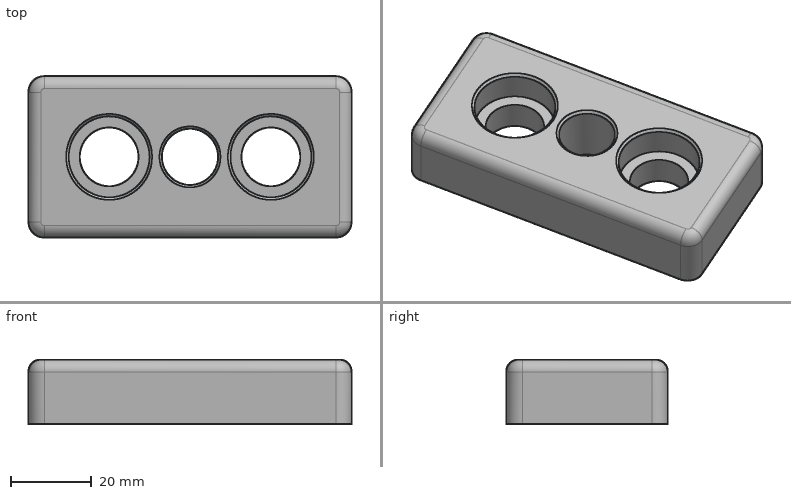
import cadquery as cq

length = 80.0
width = length / 2
height = length / 5
corner_radius = 4.0
top_fillet = 3.0

hole_pitch = length / 4
bolt_diameter = 14.5
counterbore_diameter = 20.0
counterbore_depth = height / 2
centre_diameter = 13.8
rim_chamfer = 0.6


def rounded_block():
    """Block standing on Z = 0 with rounded upright corners and top edge."""
    block = cq.Workplane("XY").box(length, width, height, centered=(True, True, False))
    block = block.edges("|Z").fillet(corner_radius)
    return block.faces(">Z").edges().fillet(top_fillet)


def chamfered_bore(x, diameter, depth):
    """Cutter for a bore sunk from the top face, with a 45 degree rim chamfer."""
    radius = diameter / 2
    floor = height - depth
    profile = (
        cq.Workplane("XZ")
        .moveTo(0, floor)
        .lineTo(radius, floor)
        .lineTo(radius, height - rim_chamfer)
        .lineTo(radius + rim_chamfer, height)
        .lineTo(0, height)
        .close()
    )
    return profile.revolve(360, (0, 0), (0, 1)).translate((x, 0, 0))


result = rounded_block().cut(chamfered_bore(0, centre_diameter, height))

for x in (-hole_pitch, hole_pitch):
    through_hole = cq.Workplane("XY").center(x, 0).circle(bolt_diameter / 2).extrude(height)
    result = result.cut(through_hole)
    result = result.cut(chamfered_bore(x, counterbore_diameter, counterbore_depth))